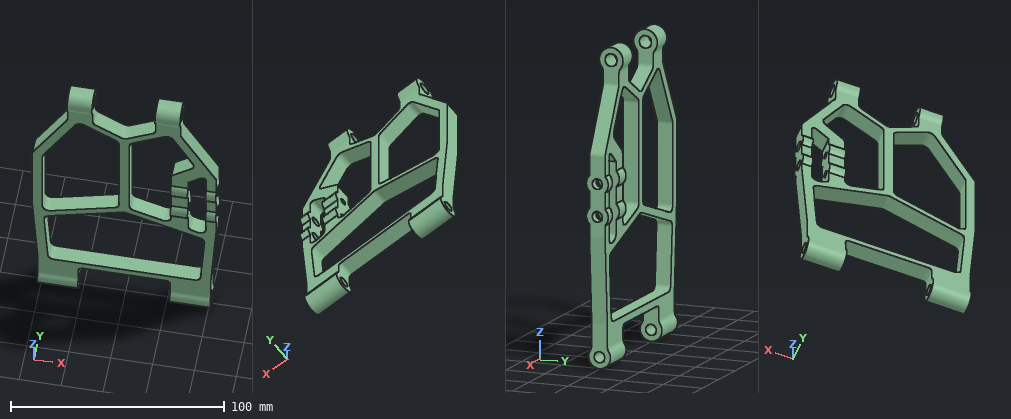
import cadquery as cq
import math

height = 151.7
plate_thickness = 8.0
half_width = 44.0
wall = 5.0
rib = 4.0

upper_lug_inner = 15.0
upper_lug_outer = 27.0
upper_lug_radius = 6.0
upper_hole_diameter = 6.0

lower_lug_inner = 21.8
lower_lug_outer = 41.3
lower_lug_radius = 5.6
lower_hole_diameter = 5.3

shoulder_top_z = 133.8
shoulder_bottom_z = 103.5
taper_top_z = 63.9
taper_bottom_z = 21.5
notch_top_z = 17.7
valley_z = 124.8
valley_angle = 30.0
arch_peak_z = 67.0
arch_angle = 18.0

bar_left = 22.3
bar_width = 8.2
brace_angle = 39.0
brace_thickness = 7.9
slot_corner_z = 97.8
boss_radius = 5.6
boss_zs = (73.7, 89.5)
bar_hole_diameter = 3.3
wall_hole_diameter = 5.0

window_radius = 3.0
slot_tip_radius = 1.5
neck_radius = 3.8
outline_radius = 3.0
notch_radius = 2.0

half_plate = plate_thickness / 2
half_bar = wall / 2
inner_x = half_width - wall
bar_right = bar_left + bar_width
upper_lug_z = height - upper_lug_radius
lower_lug_z = lower_lug_radius
valley_slope = math.tan(math.radians(valley_angle))
arch_slope = math.tan(math.radians(arch_angle))
brace_slope = math.tan(math.radians(brace_angle))
valley_rib_z = valley_z - rib / math.cos(math.radians(valley_angle))
arch_rib_z = arch_peak_z + rib / math.cos(math.radians(arch_angle))
brace_rise = brace_thickness / math.cos(math.radians(brace_angle))
shoulder_slope = (shoulder_top_z - shoulder_bottom_z) / (half_width - upper_lug_outer)
shoulder_drop = wall * (math.hypot(1, shoulder_slope) - shoulder_slope)
inner_shoulder_z = shoulder_bottom_z - shoulder_drop
taper_slope = (half_width - lower_lug_outer) / (taper_top_z - taper_bottom_z)


def valley_rib_under(x):
    return valley_rib_z + valley_slope * x


def arch_rib_top(x):
    return arch_rib_z - arch_slope * x


def shoulder_inside(x):
    return inner_shoulder_z + shoulder_slope * (inner_x - x)


def brace_top(x):
    return slot_corner_z + brace_rise + brace_slope * (x - bar_right)


def brace_under(x):
    return slot_corner_z + brace_slope * (x - bar_right)


def prism(points):
    """Closed X-Z outline extruded through the plate thickness."""
    return cq.Workplane("XZ").polyline(points).close().extrude(half_plate, both=True)


def round_corners(body, points, radius):
    """Round the through-edges of a prism that stand at the given X-Z points."""
    for x, z in points:
        edge = cq.selectors.NearestToPointSelector((x, 0, z))
        body = body.edges("|Y").edges(edge).fillet(radius)
    return body


def mirrored(points):
    """Follow the right-hand points with their left-hand copies in reverse order."""
    return points + [(-x, z) for x, z in reversed(points) if x != 0]


def plate():
    valley = (0, valley_z)
    lug_root = (upper_lug_inner, valley_z + valley_slope * upper_lug_inner)
    shoulder_top = (upper_lug_outer, shoulder_top_z)
    shoulder_bottom = (half_width, shoulder_bottom_z)
    notch_corner = (lower_lug_inner, notch_top_z)
    right_half = [
        valley,
        lug_root,
        (upper_lug_inner, upper_lug_z),
        (upper_lug_outer, upper_lug_z),
        shoulder_top,
        shoulder_bottom,
        (half_width, taper_top_z),
        (lower_lug_outer, taper_bottom_z),
        (lower_lug_outer, lower_lug_z),
        (lower_lug_inner, lower_lug_z),
        notch_corner,
    ]
    body = prism(mirrored(right_half))
    body = round_corners(body, [valley], outline_radius)
    body = round_corners(body, mirrored([lug_root, shoulder_top, shoulder_bottom]), outline_radius)
    return round_corners(body, mirrored([notch_corner]), notch_radius)


def upper_window_peak_x():
    gap = shoulder_inside(0) - valley_rib_under(0)
    return gap / (shoulder_slope + valley_slope)


def left_window():
    peak_x = upper_window_peak_x()
    points = [
        (-half_bar, arch_rib_top(half_bar)),
        (-half_bar, valley_rib_under(half_bar)),
        (-peak_x, valley_rib_under(peak_x)),
        (-inner_x, inner_shoulder_z),
        (-inner_x, arch_rib_top(inner_x)),
    ]
    return prism(points).edges("|Y").fillet(window_radius)


def right_window():
    peak_x = upper_window_peak_x()
    brace_x = (shoulder_inside(0) - brace_top(0)) / (shoulder_slope + brace_slope)
    points = [
        (half_bar, arch_rib_top(half_bar)),
        (half_bar, valley_rib_under(half_bar)),
        (peak_x, valley_rib_under(peak_x)),
        (brace_x, brace_top(brace_x)),
        (bar_left, brace_top(bar_left)),
        (bar_left, arch_rib_top(bar_left)),
    ]
    return prism(points).edges("|Y").fillet(window_radius)


def side_slot():
    tip = (inner_x, brace_under(inner_x))
    bottom = [
        (inner_x, arch_rib_top(inner_x)),
        (bar_right, arch_rib_top(bar_right)),
    ]
    body = prism([(bar_right, slot_corner_z), tip] + bottom)
    body = round_corners(body, bottom, window_radius)
    return round_corners(body, [tip], slot_tip_radius)


def lower_window():
    floor_z = notch_top_z + rib
    side_offset = wall * math.hypot(1, taper_slope)

    def side_x(z):
        return half_width - (taper_top_z - z) * taper_slope - side_offset

    corner_z = (arch_peak_z - arch_slope * side_x(0)) / (1 + arch_slope * taper_slope)
    right_half = [
        (0, arch_peak_z),
        (side_x(corner_z), corner_z),
        (side_x(floor_z), floor_z),
    ]
    return prism(mirrored(right_half)).edges("|Y").fillet(window_radius)


def rod(radius, z, x_start, x_end):
    section = cq.Workplane("YZ", origin=(x_start, 0, z)).circle(radius)
    return section.extrude(x_end - x_start)


def add_lug(body, radius, hole_diameter, axis_z, side, x_start, x_end):
    """Lug blended into both plate faces; side is +1 where the plate lies above it, -1 below."""
    body = body.union(rod(radius, axis_z, x_start, x_end))
    meet_z = axis_z + side * math.sqrt(radius**2 - half_plate**2)
    for face_y in (-half_plate, half_plate):
        meeting_point = ((x_start + x_end) / 2, face_y, meet_z)
        edge = cq.selectors.NearestToPointSelector(meeting_point)
        body = body.edges("|X").edges(edge).fillet(neck_radius)
    return body.cut(rod(hole_diameter / 2, axis_z, x_start, x_end))


result = plate()
for opening in (left_window(), right_window(), side_slot(), lower_window()):
    result = result.cut(opening)

upper_lug = (upper_lug_radius, upper_hole_diameter, upper_lug_z, -1)
lower_lug = (lower_lug_radius, lower_hole_diameter, lower_lug_z, 1)
for lug, inner, outer in (
    (upper_lug, upper_lug_inner, upper_lug_outer),
    (lower_lug, lower_lug_inner, lower_lug_outer),
):
    result = add_lug(result, *lug, -outer, -inner)
    result = add_lug(result, *lug, inner, outer)

for boss_z in boss_zs:
    for start, end, hole_diameter in (
        (bar_left, bar_right, bar_hole_diameter),
        (inner_x, half_width, wall_hole_diameter),
    ):
        result = result.union(rod(boss_radius, boss_z, start, end))
        result = result.cut(rod(hole_diameter / 2, boss_z, start, end))